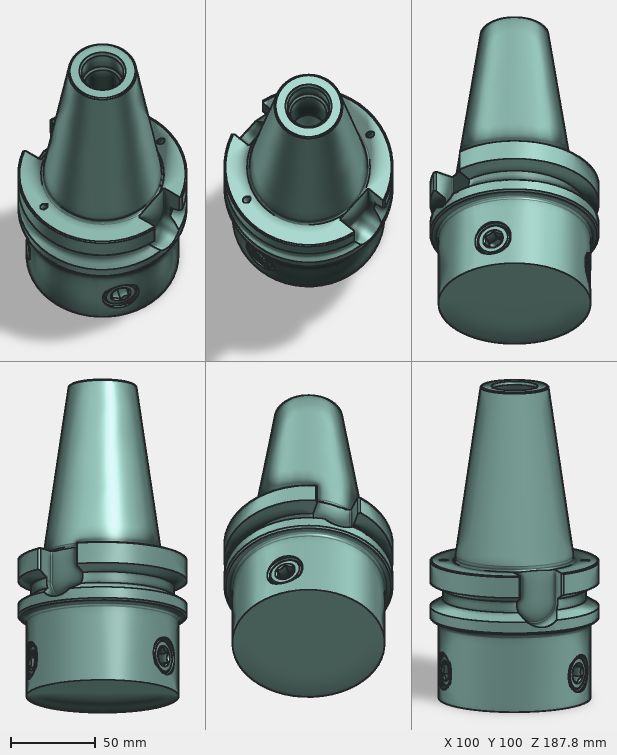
import cadquery as cq
import math

total_height = 187.8
body_top = 44.9
flange_bottom = 47.5
groove_bottom_edge = 55.2
groove_floor_bottom = 59.5
groove_floor_top = 66.1
groove_top_edge = 69.9
flange_top = 82.8
gauge_plane = 86.0

body_radius = 45.0
flange_radius = 50.0
groove_radius = 42.5
gauge_radius = 35.0
taper_slope = 7 / 48
tip_radius = gauge_radius - taper_slope * (total_height - gauge_plane)
tip_chamfer = 0.8
flange_bottom_chamfer = 1.1
flange_top_chamfer_width = 1.0
flange_top_chamfer_height = 0.5
body_fillet = flange_bottom - body_top
collar_fillet = 1.5

drill_half_angle = math.radians(60)
countersink_half_angle = math.radians(45)

bore_radius = 12.4
bore_depth = 13.0
bore_mouth_radius = 13.7
bore_mouth_depth = 1.7
thread_hole_radius = 10.7
thread_hole_depth = 45.0

slot_width = 25.7
slot_floor_x = 35.5
slot_arc_height = 64.5
slot_floor_fillet = 0.8
slot_edge_chamfer = 1.5

coolant_radius = 1.9
coolant_place_radius = 41.9
coolant_angle = 70.0
coolant_tilt = 42.0
coolant_depth = 18.8

screw_angles = (90.0, 220.0, 320.0)
screw_height = 19.0
screw_radius = 10.0
screw_face = 43.5
screw_length = 18.8
screw_chamfer = 1.0
screw_recess_radius = 11.0
socket_width = 10.0
socket_depth = 9.0
socket_mouth_radius = 6.2


def quarter_arc_point(center, radius, degrees):
    angle = math.radians(degrees)
    return (center[0] + radius * math.cos(angle), center[1] + radius * math.sin(angle))


def make_turned_blank():
    body_arc_center = (body_radius + body_fillet, body_top)
    collar_arc_center = (gauge_radius + collar_fillet, flange_top + collar_fillet)
    outline = (
        cq.Workplane("XZ")
        .moveTo(0, 0)
        .lineTo(body_radius, 0)
        .lineTo(body_radius, body_top)
        .threePointArc(
            quarter_arc_point(body_arc_center, body_fillet, 135),
            (body_radius + body_fillet, flange_bottom),
        )
        .lineTo(flange_radius - flange_bottom_chamfer, flange_bottom)
        .lineTo(flange_radius, flange_bottom + flange_bottom_chamfer)
        .lineTo(flange_radius, groove_bottom_edge)
        .lineTo(groove_radius, groove_floor_bottom)
        .lineTo(groove_radius, groove_floor_top)
        .lineTo(flange_radius, groove_top_edge)
        .lineTo(flange_radius, flange_top - flange_top_chamfer_height)
        .lineTo(flange_radius - flange_top_chamfer_width, flange_top)
        .lineTo(gauge_radius + collar_fillet, flange_top)
        .threePointArc(
            quarter_arc_point(collar_arc_center, collar_fillet, 225),
            (gauge_radius, flange_top + collar_fillet),
        )
        .lineTo(gauge_radius, gauge_plane)
        .lineTo(tip_radius + taper_slope * tip_chamfer, total_height - tip_chamfer)
        .lineTo(tip_radius - tip_chamfer, total_height)
        .lineTo(0, total_height)
        .close()
    )
    return outline.revolve(360, (0, 0, 0), (0, 1, 0))


def make_bore():
    bore_bottom = total_height - bore_depth
    step_bottom = bore_bottom - (bore_radius - thread_hole_radius) / math.tan(drill_half_angle)
    thread_hole_bottom = total_height - thread_hole_depth
    drill_tip = thread_hole_bottom - thread_hole_radius / math.tan(drill_half_angle)
    outline = (
        cq.Workplane("XZ")
        .moveTo(0, total_height)
        .lineTo(bore_mouth_radius, total_height)
        .lineTo(bore_radius, total_height - bore_mouth_depth)
        .lineTo(bore_radius, bore_bottom)
        .lineTo(thread_hole_radius, step_bottom)
        .lineTo(thread_hole_radius, thread_hole_bottom)
        .lineTo(0, drill_tip)
        .close()
    )
    return outline.revolve(360, (0, 0, 0), (0, 1, 0))


def make_slot():
    """Cutter for the slot on the +X side: straight walls with a rounded lower end."""
    half_width = slot_width / 2
    slot_top = flange_top + collar_fillet
    slot_length = flange_radius - slot_floor_x + slot_edge_chamfer
    cutter = (
        cq.Workplane("YZ", origin=(slot_floor_x, 0, 0))
        .moveTo(-half_width, slot_top)
        .lineTo(-half_width, slot_arc_height)
        .threePointArc((0, slot_arc_height - half_width), (half_width, slot_arc_height))
        .lineTo(half_width, slot_top)
        .close()
        .extrude(slot_length)
    )
    rounded = cutter.faces("<X").edges("not(>Z)").fillet(slot_floor_fillet)
    return rounded.union(make_slot_edge_chamfer())


def make_slot_edge_chamfer():
    """Flared outer end of the slot, which bevels its upright edges in the upper flange."""
    half_width = slot_width / 2
    edge_x = math.sqrt(flange_radius**2 - half_width**2)
    return (
        cq.Workplane("XY", origin=(0, 0, groove_floor_top))
        .polyline([
            (edge_x - slot_edge_chamfer, -half_width),
            (edge_x + slot_edge_chamfer, -half_width - 2 * slot_edge_chamfer),
            (edge_x + slot_edge_chamfer, half_width + 2 * slot_edge_chamfer),
            (edge_x - slot_edge_chamfer, half_width),
        ])
        .close()
        .extrude(flange_top - groove_floor_top)
    )


def make_coolant_hole():
    """Cutter starting above the flange top at +X and sloping down towards the axis."""
    overrun = 2 * coolant_radius
    return (
        cq.Workplane("XY")
        .circle(coolant_radius)
        .extrude(coolant_depth + overrun)
        .translate((0, 0, -coolant_depth))
        .rotate((0, 0, 0), (0, 1, 0), coolant_tilt)
        .translate((coolant_place_radius, 0, flange_top))
    )


def around_axis(shape, angle):
    return shape.rotate((0, 0, 0), (0, 0, 1), angle)


def make_cone(base_radius, half_angle, base_x):
    """Cone on the screw axis, with its base at base_x and its tip towards the holder's axis."""
    return cq.Workplane(
        cq.Solid.makeCone(
            base_radius,
            0,
            base_radius / math.tan(half_angle),
            pnt=cq.Vector(base_x, 0, screw_height),
            dir=cq.Vector(-1, 0, 0),
        )
    )


def make_screw_cylinder(radius, start_x, end_x):
    """Cylinder on the screw axis, which runs along +X."""
    return (
        cq.Workplane("YZ", origin=(start_x, 0, screw_height))
        .circle(radius)
        .extrude(end_x - start_x)
    )


def make_screw_hole():
    """Cutter along +X: a hole that fits the screw, widening by a cone to a recess at its mouth."""
    hole = make_screw_cylinder(screw_radius, screw_face - screw_length, screw_face)
    recess_cone = make_cone(screw_recess_radius, countersink_half_angle, screw_face)
    recess = make_screw_cylinder(screw_recess_radius, screw_face, flange_radius)
    return hole.union(recess_cone).union(recess)


def make_socket():
    """Cutter for the hexagon socket, with corners up and down, a conical mouth and a drilled floor."""
    corner_radius = socket_width / 2 / math.cos(math.radians(30))
    tip_depth = corner_radius / math.tan(drill_half_angle)
    hexagon = (
        cq.Workplane("YZ", origin=(screw_face, 0, screw_height))
        .transformed(rotate=(0, 0, 90))
        .polygon(6, 2 * corner_radius)
        .extrude(-socket_depth - tip_depth)
    )
    floor_x = screw_face - socket_depth
    drilled = make_screw_cylinder(corner_radius, floor_x, screw_face).union(
        make_cone(corner_radius, drill_half_angle, floor_x)
    )
    mouth = make_cone(socket_mouth_radius, countersink_half_angle, screw_face)
    return hexagon.intersect(drilled).union(mouth)


def make_screw():
    """Clamping screw along +X."""
    blank = make_screw_cylinder(screw_radius, screw_face - screw_length, screw_face)
    return blank.faces(">X").chamfer(screw_chamfer).cut(make_socket())


def make_holder():
    holder = make_turned_blank().cut(make_bore())
    slot = make_slot()
    coolant_hole = make_coolant_hole()
    for half_turn in (0, 180):
        holder = holder.cut(around_axis(slot, half_turn))
        holder = holder.cut(around_axis(coolant_hole, coolant_angle + half_turn))
    screw_hole = make_screw_hole()
    for angle in screw_angles:
        holder = holder.cut(around_axis(screw_hole, angle))
    return holder


holder = make_holder()
screws = [around_axis(make_screw(), angle) for angle in screw_angles]

result = cq.Compound.makeCompound([holder.val(), *[screw.val() for screw in screws]])